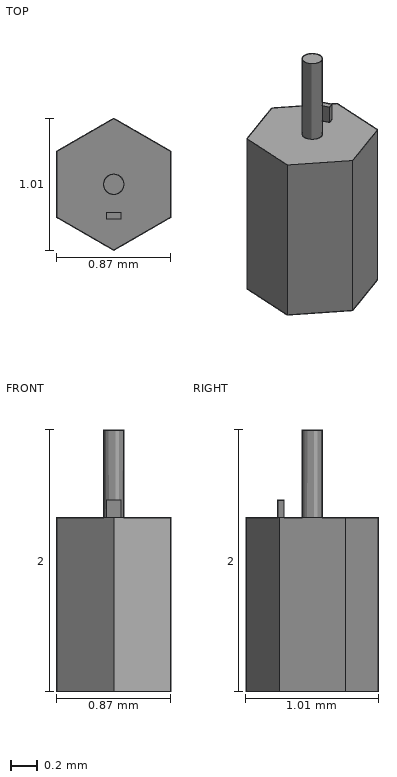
import cadquery as cq

total_height = 2.0
pin_height = 0.67
body_height = total_height - pin_height

side_count = 6
across_corners = 1.01
corner_direction = 90

pin_diameter = 0.155

tab_width = 0.11
tab_thickness = 0.05
tab_height = 0.135
tab_offset = 0.24


def make_body():
    """Hexagonal prism with two flats facing +X and -X."""
    prism = cq.Workplane("XY").polygon(side_count, across_corners).extrude(body_height)
    return prism.rotate((0, 0, 0), (0, 0, 1), corner_direction)


def body_top():
    """Workplane on the top face of the body, centred on its axis."""
    return cq.Workplane("XY").workplane(offset=body_height)


def make_pin():
    """Cylinder centred on the top face."""
    return body_top().circle(pin_diameter / 2).extrude(pin_height)


def make_tab():
    """Upright block on the top face, on the -Y side of the pin."""
    return body_top().center(0, -tab_offset).rect(tab_width, tab_thickness).extrude(tab_height)


result = make_body().union(make_pin()).union(make_tab())